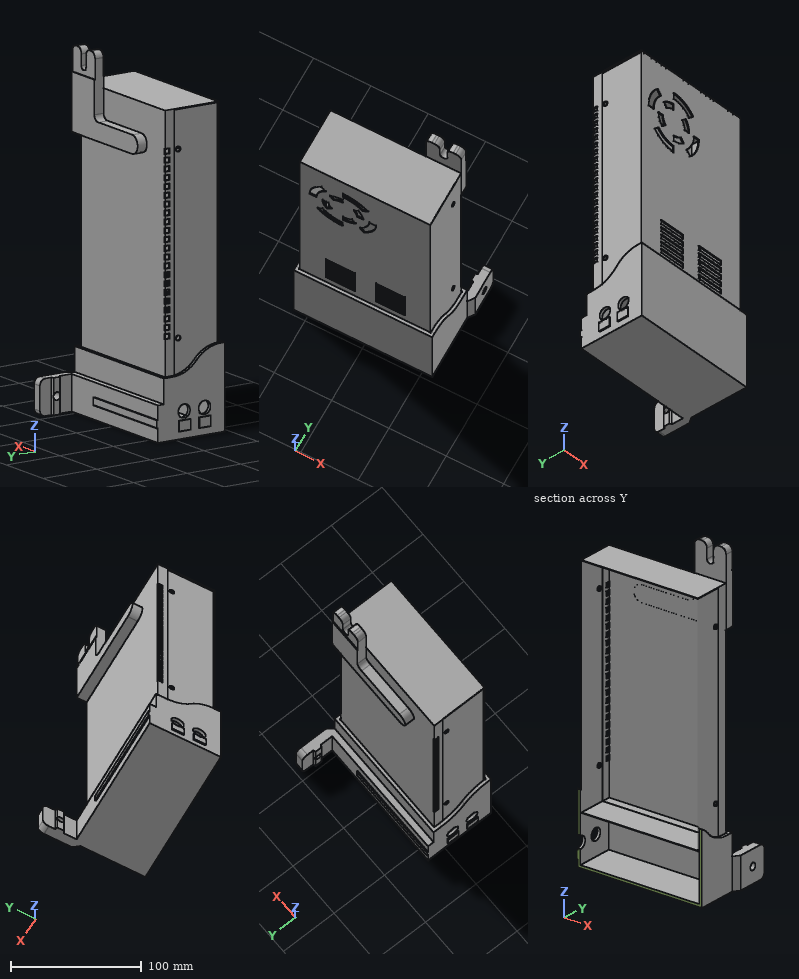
import cadquery as cq
import math

cover_width = 121.0
cover_depth = 57.0
cover_wall = 3.0
cover_front_height = 71.0
cover_back_height = 50.5
sweep_start_y = 4.0
sweep_end_y = 49.0
cable_hole_diameter = 11.0
cable_hole_z = 22.0
cable_hole_ys = (19.0, 38.0)

label_pad_height = 1.0
label_pad_z = 6.5
label_pad_size_z = 8.5
label_pad_size_y = 10.5
back_strip_height = 1.0
back_strip_length = 86.0
back_strip_size_z = 6.4

flange_height = 30.0
flange_thickness = 5.5
ear_end_y = 92.0
ear_inner_x = 117.0
ear_outer_x = 125.0
ear_corner_radius = 5.0
ear_hole_diameter = 6.4
ear_rib_y = 77.5
ear_rib_height = 2.0
ear_rib_top_width = 6.0
ear_rib_foot_width = 7.5

fit_clearance = 0.5
housing_length = 215.0
housing_top = 262.0
front_wall = 1.0
side_wall = 0.7
end_wall = 1.0
back_wall = 1.0
rear_side_wall = 1.2
rear_end_wall = 1.2
rear_depth = 9.0

fan_x = 41.0
fan_z = 213.3
outer_slot_radii = (23.0, 29.0)
outer_slot_sweep = -50.0
inner_slot_radii = (12.4, 17.8)
inner_slot_sweep = 40.0
slots_per_ring = 4

vent_count = 5
vent_pitch = 7.0
vent_width = 25.5
vent_height = 4.0
vent_top_z = 108.2
vent_xs = (39.0, 82.5)
notch_count = 22
notch_pitch = 7.0
notch_height = 4.0
notch_depth_y = 4.3
notch_top_z = 229.3
side_hole_diameter = 4.0
side_hole_y = 41.0
side_hole_zs = (79.5, 229.5)

bracket_top = 291.58
bracket_bottom = 222.0
bracket_thickness = 8.7
fork_width = 30.8
fork_thickness = 8.0
fork_thin_z = 270.0
fork_corner_radius = 5.0
fork_slot_width = 6.4
fork_slot_depth = 17.5
arm_height = 15.3
arm_left_x = 28.0
arm_fillet = 5.0

flange_back_y = cover_depth + flange_thickness
housing_left = cover_wall + fit_clearance
housing_right = cover_width - housing_left
housing_front = cover_wall + fit_clearance
housing_back = cover_depth - cover_wall - fit_clearance
housing_bottom = housing_top - housing_length


def box(x0, x1, y0, y1, z0, z1):
    """Axis-aligned block between two corners."""
    return cq.Workplane("XY").box(x1 - x0, y1 - y0, z1 - z0, centered=False).translate((x0, y0, z0))


def x_cylinder(diameter, y, z, x0, x1):
    """Cylinder along X between x0 and x1."""
    return cq.Workplane("YZ", origin=(x0, 0, 0)).center(y, z).circle(diameter / 2).extrude(x1 - x0)


def cover_cup():
    """Cup whose side walls sweep down from the high front to the low back in two equal arcs."""
    run = sweep_end_y - sweep_start_y
    drop = cover_front_height - cover_back_height
    radius = (run**2 + drop**2) / (4 * drop)
    half_angle = math.asin(run / 2 / radius) / 2
    arc_run = radius * math.sin(half_angle)
    arc_drop = radius * (1 - math.cos(half_angle))
    middle = ((sweep_start_y + sweep_end_y) / 2, (cover_front_height + cover_back_height) / 2)
    profile = (
        cq.Workplane("YZ")
        .moveTo(0, 0)
        .lineTo(0, cover_front_height)
        .lineTo(sweep_start_y, cover_front_height)
        .threePointArc((sweep_start_y + arc_run, cover_front_height - arc_drop), middle)
        .threePointArc((sweep_end_y - arc_run, cover_back_height + arc_drop), (sweep_end_y, cover_back_height))
        .lineTo(cover_depth, cover_back_height)
        .lineTo(cover_depth, 0)
        .close()
    )
    inside = box(
        cover_wall, cover_width - cover_wall,
        cover_wall, cover_depth - cover_wall,
        cover_wall, cover_front_height,
    )
    return profile.extrude(cover_width).cut(inside)


def mounting_ear():
    """Flange across the cover back that turns into a rearward ear at the right-hand end."""
    flange = box(0, cover_width, cover_depth, flange_back_y, 0, flange_height)
    ear = (
        cq.Workplane("XY")
        .moveTo(ear_inner_x, cover_depth)
        .lineTo(cover_width, cover_depth)
        .lineTo(ear_outer_x, flange_back_y)
        .lineTo(ear_outer_x, ear_end_y)
        .lineTo(ear_inner_x, ear_end_y)
        .close()
        .extrude(flange_height)
        .edges("|X and >Y")
        .fillet(ear_corner_radius)
    )
    rib = (
        cq.Workplane("XY")
        .moveTo(ear_inner_x, ear_rib_y - ear_rib_foot_width / 2)
        .lineTo(ear_inner_x - ear_rib_height, ear_rib_y - ear_rib_top_width / 2)
        .lineTo(ear_inner_x - ear_rib_height, ear_rib_y + ear_rib_top_width / 2)
        .lineTo(ear_inner_x, ear_rib_y + ear_rib_foot_width / 2)
        .close()
        .extrude(flange_height)
    )
    hole = x_cylinder(
        ear_hole_diameter, ear_rib_y, flange_height / 2, ear_inner_x - ear_rib_height, ear_outer_x
    )
    return flange.union(ear).union(rib).cut(hole)


def back_strip():
    """Low raised strip along the middle of the flange back."""
    strip_bottom = (flange_height - back_strip_size_z) / 2
    return box(
        0, back_strip_length,
        flange_back_y, flange_back_y + back_strip_height,
        strip_bottom, strip_bottom + back_strip_size_z,
    )


def label_pad(y):
    """Plain raised pad on the left wall below the cable hole at y."""
    return box(
        -label_pad_height, 0,
        y - label_pad_size_y / 2, y + label_pad_size_y / 2,
        label_pad_z, label_pad_z + label_pad_size_z,
    )


def make_cover():
    """Cup with its flange and ear, cable holes in the left wall and raised pads."""
    cover = cover_cup().union(mounting_ear())
    cover = cover.union(back_strip())
    for y in cable_hole_ys:
        cover = cover.cut(x_cylinder(cable_hole_diameter, y, cable_hole_z, 0, cover_wall))
        cover = cover.union(label_pad(y))
    return cover


def housing_shell():
    """Thin closed case whose end and side walls are thicker in the rear part of the cavity."""
    outside = box(housing_left, housing_right, housing_front, housing_back, housing_bottom, housing_top)
    inside = box(
        housing_left + side_wall, housing_right - side_wall,
        housing_front + front_wall, housing_back - rear_depth,
        housing_bottom + end_wall, housing_top - end_wall,
    )
    inside_rear = box(
        housing_left + rear_side_wall, housing_right - rear_side_wall,
        housing_back - rear_depth, housing_back - back_wall,
        housing_bottom + rear_end_wall, housing_top - rear_end_wall,
    )
    return outside.cut(inside).cut(inside_rear)


def ring_slot(radii, start, sweep):
    """Cutter for one slot of the fan grille, from angle start over sweep degrees."""
    inner, outer = radii

    def point(radius, angle):
        turn = math.radians(angle)
        return (fan_x + radius * math.cos(turn), fan_z + radius * math.sin(turn))

    middle = start + sweep / 2
    end = start + sweep
    return (
        cq.Workplane("XZ", origin=(0, housing_front, 0))
        .moveTo(*point(inner, start))
        .lineTo(*point(outer, start))
        .threePointArc(point(outer, middle), point(outer, end))
        .lineTo(*point(inner, end))
        .threePointArc(point(inner, middle), point(inner, start))
        .close()
        .extrude(-front_wall)
    )


def front_vent(x, z):
    """Cutter for one horizontal vent in the housing front, centred at x and z."""
    return box(
        x - vent_width / 2, x + vent_width / 2,
        housing_front, housing_front + front_wall,
        z - vent_height / 2, z + vent_height / 2,
    )


def corner_notch(z):
    """Cutter for one notch in the left rear corner of the housing, centred at z."""
    return box(
        housing_left, housing_left + rear_side_wall,
        housing_back - notch_depth_y, housing_back,
        z - notch_height / 2, z + notch_height / 2,
    )


def make_housing():
    """Case with fan grille and vents in the front, corner notches and side mounting holes."""
    housing = housing_shell()
    for index in range(slots_per_ring):
        start = index * 360 / slots_per_ring
        housing = housing.cut(ring_slot(outer_slot_radii, start, outer_slot_sweep))
        housing = housing.cut(ring_slot(inner_slot_radii, start, inner_slot_sweep))
    for x in vent_xs:
        for index in range(vent_count):
            housing = housing.cut(front_vent(x, vent_top_z - index * vent_pitch))
    for index in range(notch_count):
        housing = housing.cut(corner_notch(notch_top_z - index * notch_pitch))
    for z in side_hole_zs:
        housing = housing.cut(x_cylinder(side_hole_diameter, side_hole_y, z, housing_left, housing_right))
    return housing


def make_bracket():
    """Open-ended fork above the housing with a round-ended arm along the housing back."""
    fork_left = housing_right - fork_width
    fork_middle = housing_right - fork_width / 2
    arm_top = bracket_bottom + arm_height
    arm_radius = arm_height / 2
    slot_radius = fork_slot_width / 2
    slot_center_z = bracket_top - fork_slot_depth + slot_radius
    plane = cq.Workplane("XZ", origin=(0, housing_back, 0))
    plate = (
        plane.moveTo(arm_left_x + arm_radius, bracket_bottom)
        .threePointArc((arm_left_x, bracket_bottom + arm_radius), (arm_left_x + arm_radius, arm_top))
        .lineTo(fork_left, arm_top)
        .lineTo(fork_left, bracket_top)
        .lineTo(housing_right, bracket_top)
        .lineTo(housing_right, bracket_bottom)
        .close()
        .extrude(-bracket_thickness)
    )
    slot = (
        plane.moveTo(fork_middle - slot_radius, bracket_top)
        .lineTo(fork_middle - slot_radius, slot_center_z)
        .threePointArc((fork_middle, slot_center_z - slot_radius), (fork_middle + slot_radius, slot_center_z))
        .lineTo(fork_middle + slot_radius, bracket_top)
        .close()
        .extrude(-bracket_thickness)
    )
    inner_corner = (fork_left, housing_back + bracket_thickness / 2, arm_top)
    plate = plate.edges(cq.selectors.NearestToPointSelector(inner_corner))
    plate = plate.fillet(arm_fillet).cut(slot).edges("|Y and >Z").fillet(fork_corner_radius)
    relief = box(
        fork_left, housing_right,
        housing_back + fork_thickness, housing_back + bracket_thickness,
        fork_thin_z, bracket_top,
    )
    return plate.cut(relief)


cover = make_cover()
housing = make_housing()
bracket = make_bracket()

result = cq.Compound.makeCompound([cover.val(), housing.val(), bracket.val()])